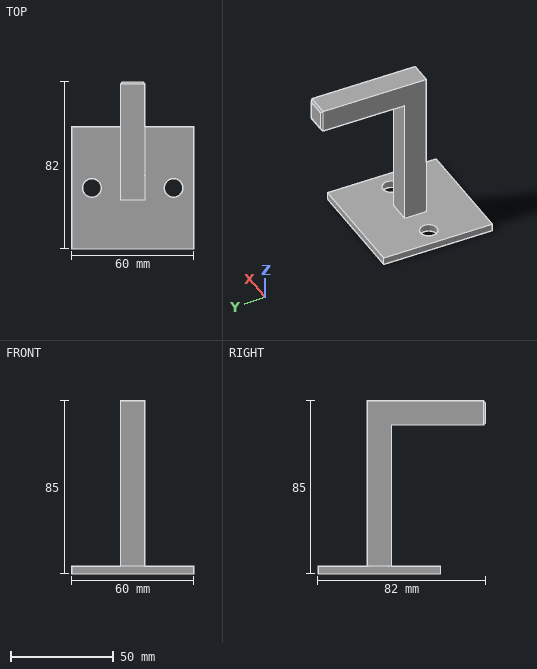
import cadquery as cq

plate_side = 60.0
plate_thickness = 4.0
screw_hole_diameter = 9.0
screw_hole_spacing = 40.0

bar_side = 12.0
overall_height = 85.0
overall_depth = 82.0
tip_chamfer = 1.0

post_front = -bar_side / 2
post_back = bar_side / 2
arm_end = overall_depth - plate_side / 2
arm_underside = overall_height - bar_side


def make_plate():
    """Base plate with two screw holes on the X axis."""
    plate = cq.Workplane("XY").rect(plate_side, plate_side).extrude(plate_thickness)
    half_spacing = screw_hole_spacing / 2
    return (
        plate.faces(">Z")
        .workplane()
        .pushPoints([(-half_spacing, 0), (half_spacing, 0)])
        .hole(screw_hole_diameter)
    )


def make_bar():
    """Post and arm from one L-shaped side profile, with the arm's free end chamfered."""
    profile = [
        (post_front, plate_thickness),
        (post_back, plate_thickness),
        (post_back, arm_underside),
        (arm_end, arm_underside),
        (arm_end, overall_height),
        (post_front, overall_height),
    ]
    bar = cq.Workplane("YZ").polyline(profile).close().extrude(bar_side / 2, both=True)
    return bar.faces(">Y").chamfer(tip_chamfer)


result = make_plate().union(make_bar())